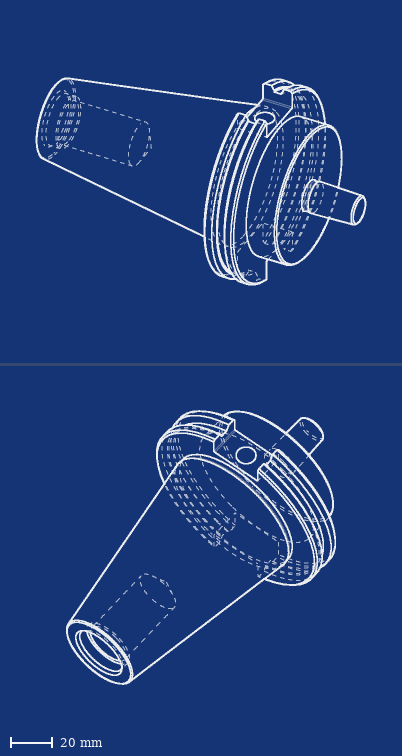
import cadquery as cq
import math


GAUGE_DIA = 69.85
TAPER_LENGTH = 101.6
TAPER_RATE = 7 / 24
SMALL_END_CHAMFER = 0.6
small_end_dia = GAUGE_DIA - TAPER_LENGTH * TAPER_RATE

RELIEF_DIA = 69.25
RELIEF_RAMP = 1.0

FLANGE_DIA = 98.425
FLANGE_START = 3.175
FLANGE_WIDTH = 15.875
FLANGE_CHAMFER = 1.0
flange_end = FLANGE_START + FLANGE_WIDTH

GROOVE_FLOOR_DIA = 92.0
GROOVE_FLOOR_START = 9.2
GROOVE_FLOOR_END = 12.9
GROOVE_REAR_WALL = 0.9
GROOVE_FLANK_ANGLE = 60.0

BODY_END = 35.0
BODY_CHAMFER = 0.8

TOTAL_LENGTH = 163.58
SPIGOT_MAX_DIA = 15.85
SPIGOT_NECK_DIA = 15.25
SPIGOT_TIP_DIA = 14.55
SPIGOT_RAMP = 1.0
SPIGOT_TAPER_START = 38.4
SPIGOT_TIP_CHAMFER = 0.8
spigot_end = TOTAL_LENGTH - TAPER_LENGTH

BORE_DIA = 26.2
BORE_DEPTH = 7.0
BORE_MOUTH_DIA = 28.2
BORE_MOUTH_CHAMFER_LENGTH = 1.73
DRILL_DIA = 21.97
DRILL_DEPTH = 45.0
DRILL_POINT_ANGLE = 118.0

SLOT_WIDTH = 26.85
UPPER_SLOT_FLOOR = 37.8
LOWER_SLOT_FLOOR = 35.3
SLOT_FILLET = 0.6

DIMPLE_DIA = 9.53


def revolve_about_x(points):
    """Solid of revolution about X from (x, radius) points."""
    return cq.Workplane("XZ").polyline(points).close().revolve(360, (0, 0, 0), (1, 0, 0))


def point_length(diameter):
    """Length of the conical tip left by a drill."""
    return diameter / 2 / math.tan(math.radians(DRILL_POINT_ANGLE / 2))


def make_taper():
    r_small = small_end_dia / 2
    chamfer_rise = SMALL_END_CHAMFER * TAPER_RATE / 2
    return revolve_about_x([
        (-TAPER_LENGTH, 0),
        (-TAPER_LENGTH, r_small - SMALL_END_CHAMFER),
        (-TAPER_LENGTH + SMALL_END_CHAMFER, r_small + chamfer_rise),
        (0, GAUGE_DIA / 2),
        (RELIEF_RAMP, RELIEF_DIA / 2),
        (FLANGE_START, RELIEF_DIA / 2),
        (FLANGE_START, 0),
    ])


def make_flange():
    r_rim = FLANGE_DIA / 2
    r_edge = r_rim - FLANGE_CHAMFER
    r_floor = GROOVE_FLOOR_DIA / 2
    r_wall = r_floor + GROOVE_REAR_WALL
    flank_slope = math.tan(math.radians(GROOVE_FLANK_ANGLE))
    rear_lip_end = GROOVE_FLOOR_START - (r_rim - r_wall) / flank_slope
    front_lip_start = GROOVE_FLOOR_END + (r_rim - r_floor) / flank_slope
    return revolve_about_x([
        (FLANGE_START, 0),
        (FLANGE_START, r_edge),
        (FLANGE_START + FLANGE_CHAMFER, r_rim),
        (rear_lip_end, r_rim),
        (GROOVE_FLOOR_START, r_wall),
        (GROOVE_FLOOR_START, r_floor),
        (GROOVE_FLOOR_END, r_floor),
        (front_lip_start, r_rim),
        (flange_end - FLANGE_CHAMFER, r_rim),
        (flange_end, r_edge),
        (flange_end, 0),
    ])


def make_body_and_spigot():
    r_body = GAUGE_DIA / 2
    r_max = SPIGOT_MAX_DIA / 2
    r_neck = SPIGOT_NECK_DIA / 2
    r_tip = SPIGOT_TIP_DIA / 2
    return revolve_about_x([
        (flange_end, 0),
        (flange_end, r_body),
        (BODY_END - BODY_CHAMFER, r_body),
        (BODY_END, r_body - BODY_CHAMFER),
        (BODY_END, r_max),
        (BODY_END + SPIGOT_RAMP, r_neck),
        (SPIGOT_TAPER_START - SPIGOT_RAMP, r_neck),
        (SPIGOT_TAPER_START, r_max),
        (spigot_end - SPIGOT_TIP_CHAMFER, r_tip),
        (spigot_end, r_tip - SPIGOT_TIP_CHAMFER),
        (spigot_end, 0),
    ])


def make_bore():
    return revolve_about_x([
        (-TAPER_LENGTH, 0),
        (-TAPER_LENGTH, BORE_MOUTH_DIA / 2),
        (-TAPER_LENGTH + BORE_MOUTH_CHAMFER_LENGTH, BORE_DIA / 2),
        (-TAPER_LENGTH + BORE_DEPTH, BORE_DIA / 2),
        (-TAPER_LENGTH + BORE_DEPTH, DRILL_DIA / 2),
        (-TAPER_LENGTH + DRILL_DEPTH, DRILL_DIA / 2),
        (-TAPER_LENGTH + DRILL_DEPTH + point_length(DRILL_DIA), 0),
    ])


def make_slot(floor_height, side):
    """Cutter for a drive slot on the +Z (side = 1) or -Z (side = -1) face."""
    height = FLANGE_DIA / 2
    floor_face = "<Z" if side > 0 else ">Z"
    return (
        cq.Workplane("XY")
        .box(FLANGE_WIDTH, SLOT_WIDTH, height, centered=(False, True, True))
        .faces(floor_face)
        .edges("|X")
        .fillet(SLOT_FILLET)
        .translate((FLANGE_START, 0, side * (floor_height + height / 2)))
    )


def make_dimple():
    r = DIMPLE_DIA / 2
    return (
        cq.Workplane("XZ")
        .polyline([(0, 0), (r, 0), (0, -point_length(DIMPLE_DIA))])
        .close()
        .revolve(360, (0, 0, 0), (0, 1, 0))
        .translate((FLANGE_START + FLANGE_WIDTH / 2, 0, UPPER_SLOT_FLOOR))
    )


result = make_taper().union(make_flange()).union(make_body_and_spigot())
result = result.cut(make_bore())
result = result.cut(make_slot(UPPER_SLOT_FLOOR, 1))
result = result.cut(make_slot(LOWER_SLOT_FLOOR, -1))
result = result.cut(make_dimple())